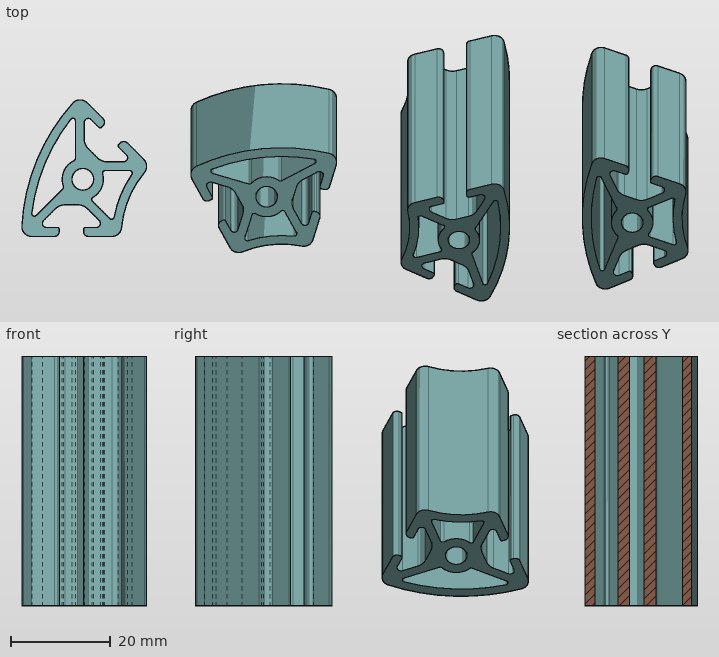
import cadquery as cq
import math

length = 50
sector_angle = 45
bore_distance = 30
outer_radius = 40
inner_radius = 20
corner_radius = 2

wall = 1.8
bore_radius = 2.15
boss_radius = 4.15

slot_opening = 4.85
lip_thickness = 1.85
slot_depth = 6.35
slot_reach = slot_depth + slot_opening / 2
slot_corner_radius = 0.8
slot_floor_radius = 2.8
lip_edge_radius = 1
lip_inner_edge_radius = 0.4

cavity_corner_radius = 0.5
rib_reach = slot_reach + wall * math.sqrt(2)

half_angle = math.radians(sector_angle / 2)


def polar(radius, angle):
    """Point at an angle in radians, measured from the -X half-axis towards +Y."""
    return (-radius * math.cos(angle), radius * math.sin(angle))


def mirror_point(x, y):
    """Reflect a point in the symmetry line of the sector."""
    radius = math.hypot(x, y)
    return polar(radius, 2 * half_angle - math.atan2(y, -x))


def disc(radius, center=(0, 0)):
    """Full-length cylinder whose seam faces -Y, clear of both cavities."""
    cylinder = cq.Workplane("XY").circle(radius).extrude(length)
    return cylinder.rotate((0, 0, 0), (0, 0, 1), -90).translate((*center, 0))


def sector_body():
    full_angle = 2 * half_angle
    return (
        cq.Workplane("XY")
        .moveTo(*polar(inner_radius, 0))
        .lineTo(*polar(outer_radius, 0))
        .threePointArc(polar(outer_radius, half_angle), polar(outer_radius, full_angle))
        .lineTo(*polar(inner_radius, full_angle))
        .threePointArc(polar(inner_radius, half_angle), polar(inner_radius, 0))
        .close()
        .extrude(length)
        .edges("|Z")
        .fillet(corner_radius)
    )


def face_slot():
    """T-slot in the face on the -X half-axis."""
    half_opening = slot_opening / 2
    half_width = slot_reach - lip_thickness
    chamber = (
        cq.Workplane("XY")
        .center(-bore_distance, 0)
        .polyline([
            (-half_width, lip_thickness),
            (half_width, lip_thickness),
            (half_opening, slot_depth),
            (-half_opening, slot_depth),
        ])
        .close()
        .extrude(length)
    )
    chamber = chamber.edges("|Z and >Y").fillet(slot_floor_radius)
    chamber = chamber.edges("|Z and <Y").fillet(slot_corner_radius)
    mouth = (
        cq.Workplane("XY")
        .center(-bore_distance, 0)
        .rect(slot_opening, 2 * (lip_thickness + slot_corner_radius))
        .extrude(length)
    )
    return chamber.union(mouth)


def cut_slot(body, slot, mirrored):
    """Cut a slot and round its lips, on the -X face or on the mirrored face."""
    body = body.cut(slot)
    for side in (-1, 1):
        for height, radius in ((0, lip_edge_radius), (lip_thickness, lip_inner_edge_radius)):
            along = bore_distance + side * slot_opening / 2
            x, y = -along, height
            if mirrored:
                x, y = mirror_point(x, y)
            body = body.edges(cq.selectors.NearestToPointSelector((x, y, length / 2))).fillet(radius)
    return body


def cavity_wedge(direction):
    """Wedge between the ribs, opening outwards (+1) or towards the ring axis (-1)."""
    slope = math.tan(half_angle)
    reach = bore_distance + direction * rib_reach
    tip_x = -reach / (1 + direction * slope)
    end = (-(reach + direction * wall), -wall)
    tip = (tip_x, -tip_x * slope)
    return cq.Workplane("XY").polyline([tip, end, mirror_point(*end)]).close().extrude(length)


bore_center = polar(bore_distance, half_angle)
boss = disc(boss_radius, bore_center)

outer_cavity = cavity_wedge(1).intersect(disc(outer_radius - wall)).cut(boss)
inner_band = disc(bore_distance).cut(disc(inner_radius + wall))
inner_cavity = cavity_wedge(-1).intersect(inner_band).cut(boss)

slot = face_slot()
mirrored_slot = slot.mirror("XZ").rotate((0, 0, 0), (0, 0, 1), -sector_angle)

result = cut_slot(sector_body(), slot, mirrored=False)
result = cut_slot(result, mirrored_slot, mirrored=True)
for cavity in (outer_cavity, inner_cavity):
    result = result.cut(cavity.edges("|Z").fillet(cavity_corner_radius))
result = result.cut(disc(bore_radius, bore_center))